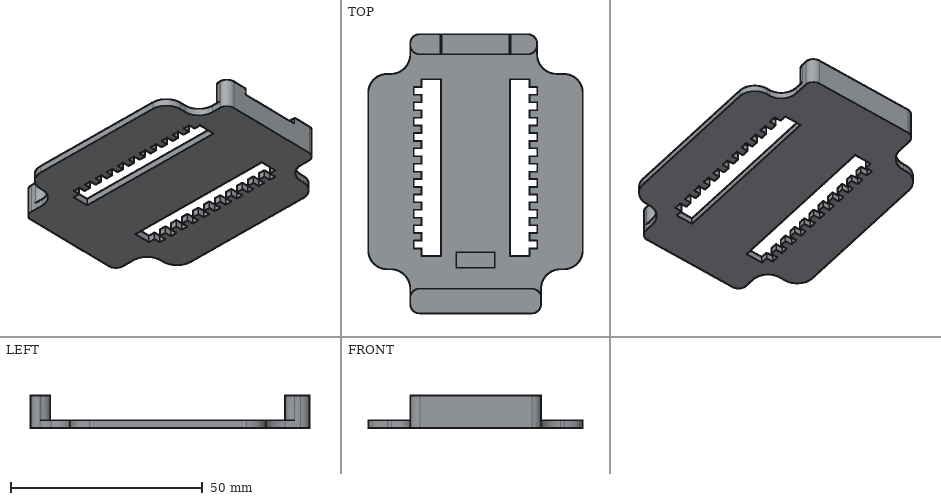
import cadquery as cq

length = 72.8
height = 8.5
plate_thickness = 2.1

body_width = 56.0
body_length = 51.0
body_offset_y = 0.6
body_corner_radius = 5.0
neck_fillet_radius = 5.0

end_left = -17.05
front_end_width = 34.15
rear_end_width = 33.1
front_block_depth = 6.5
rear_block_depth = 5.25
end_corner_radius = 2.5

tooth_notch_count = 11
slot_inner_x = 9.0
slot_width = 5.0
slot_top_y = 24.6
slot_length = 46.0
tooth = slot_length / (2 * tooth_notch_count + 1)

notch_width = 2 * slot_inner_x
notch_depth = 2.0
notch_edge_chamfer = 0.2

recess_width = 10.05
recess_length = 4.0
recess_depth = 0.4
recess_center_y = -22.4


def box_between(x_min, x_max, y_min, y_max, z_min, z_max):
    """Axis-aligned box given by its limits."""
    return (
        cq.Workplane("XY")
        .box(x_max - x_min, y_max - y_min, z_max - z_min, centered=False)
        .translate((x_min, y_min, z_min))
    )


def make_plate():
    """Flat plate: a wide rounded body with a narrower neck at each end."""
    half_length = length / 2
    half_width = body_width / 2
    front_right = end_left + front_end_width
    rear_right = end_left + rear_end_width
    body_front = body_offset_y - body_length / 2
    body_rear = body_offset_y + body_length / 2

    body = box_between(-half_width, half_width, body_front, body_rear, 0, plate_thickness)
    front_neck = box_between(end_left, front_right, -half_length, 0, 0, plate_thickness)
    rear_neck = box_between(end_left, rear_right, 0, half_length, 0, plate_thickness)
    plate = body.edges("|Z").fillet(body_corner_radius).union(front_neck).union(rear_neck)

    for x, y in (
        (end_left, body_front),
        (front_right, body_front),
        (end_left, body_rear),
        (rear_right, body_rear),
    ):
        inner_corner = cq.selectors.NearestToPointSelector((x, y, plate_thickness / 2))
        plate = plate.edges("|Z").edges(inner_corner).fillet(neck_fillet_radius)

    plate = plate.edges("|Z and (<Y or >Y)").fillet(end_corner_radius)
    return plate


def make_end_block(width, y_min, y_max):
    """Upright block with rounded vertical edges, standing over one neck."""
    block = box_between(end_left, end_left + width, y_min, y_max, plate_thickness, height)
    return block.edges("|Z").fillet(end_corner_radius)


def make_notched_rear_block():
    """Rear block with a wide notch through its top, chamfered along the notch walls."""
    block = make_end_block(rear_end_width, length / 2 - rear_block_depth, length / 2)
    mid_y = (length - rear_block_depth) / 2
    floor_z = height - notch_depth
    notch = box_between(-notch_width / 2, notch_width / 2, 0, length / 2, floor_z, height)
    block = block.cut(notch)

    for x in (-notch_width / 2, notch_width / 2):
        for z in (floor_z, height):
            wall_edge = cq.selectors.NearestToPointSelector((x, mid_y, z))
            block = block.edges("|Y").edges(wall_edge).chamfer(notch_edge_chamfer)
    return block


def make_toothed_slot():
    """Through slot on the +X side with square notches along its outer edge."""
    outer_x = slot_inner_x + slot_width
    slot_bottom_y = slot_top_y - slot_length
    slot = box_between(slot_inner_x, outer_x, slot_bottom_y, slot_top_y, 0, plate_thickness)
    for index in range(tooth_notch_count):
        y_min = slot_bottom_y + (2 * index + 1) * tooth
        slot = slot.union(
            box_between(slot_inner_x, outer_x + tooth, y_min, y_min + tooth, 0, plate_thickness)
        )
    return slot


def make_recess():
    """Cutter for the shallow rectangular recess in the plate's top face."""
    return (
        cq.Workplane("XY", origin=(0, recess_center_y, plate_thickness - recess_depth))
        .rect(recess_width, recess_length)
        .extrude(recess_depth)
    )


front_block = make_end_block(front_end_width, -length / 2, front_block_depth - length / 2)
right_slot = make_toothed_slot()

result = (
    make_plate()
    .union(front_block)
    .union(make_notched_rear_block())
    .cut(right_slot)
    .cut(right_slot.mirror("YZ"))
    .cut(make_recess())
)